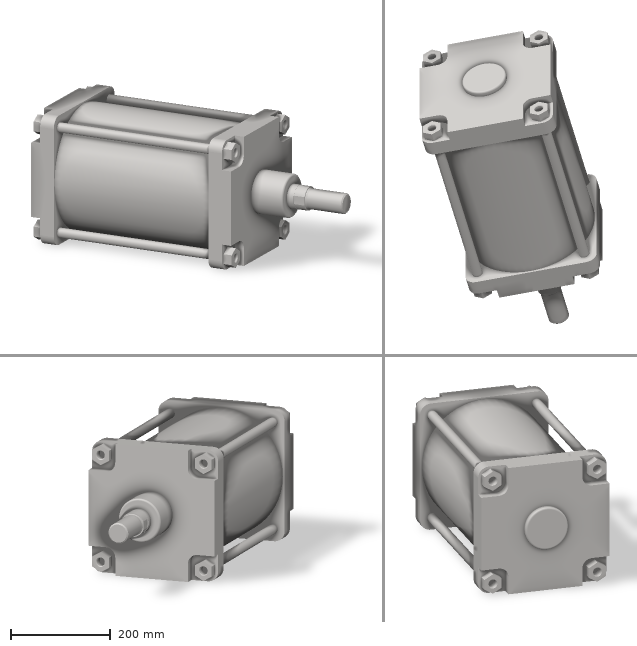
import cadquery as cq
import math

total_length = 651.0
head_side = 270.0
head_length = 51.0
head_corner_radius = 22.0
rear_head_start = 11.0
front_head_end = 459.5

pocket_side = 57.0
pocket_depth = 20.0
pocket_corner_radius = 20.0

boss_diameter = 90.0
boss_edge_radius = 4.0
collar_end = 529.0

barrel_diameter = 262.5

tie_rod_diameter = 20.0
tie_rod_pitch = 220.0
nut_across_flats = 36.0
nut_inset = 2.0
nut_hole_diameter = 17.0
nut_hole_chamfer = 1.0

rod_diameter = 50.0
rod_shoulder_x = 568.0
wrench_section_diameter = 49.5
wrench_section_length = 24.0
wrench_across_flats = 46.0
rod_end_diameter = 42.0
rod_end_chamfer = 2.5
rod_root_diameter = 45.0
rod_root_length = 4.0

barrel_start = rear_head_start + head_length
barrel_end = front_head_end - head_length
mid_x = (rear_head_start + front_head_end) / 2
wrench_section_x = rod_shoulder_x - wrench_section_length
nut_height = pocket_depth - nut_inset
nut_corner_diameter = nut_across_flats / math.cos(math.pi / 6)
tie_rod_places = [
    (y_side * tie_rod_pitch / 2, z_side * tie_rod_pitch / 2)
    for y_side in (-1, 1)
    for z_side in (-1, 1)
]


def section_at(x):
    """Workplane facing +X at position x, with local axes Y and Z."""
    return cq.Workplane("YZ", origin=(x, 0, 0))


def mirror_lengthwise(shape):
    """Reflect a shape across the plane halfway between the heads."""
    return shape.mirror("YZ", (mid_x, 0, 0))


def make_head(boss_length):
    """Rear head with corner pockets, tie-rod holes and a rounded boss of the given length."""
    head = section_at(rear_head_start).rect(head_side, head_side).extrude(head_length)
    head = head.edges("|X").fillet(head_corner_radius)

    pockets = (
        section_at(rear_head_start)
        .rect(head_side, head_side, forConstruction=True)
        .vertices()
        .rect(2 * pocket_side, 2 * pocket_side)
        .extrude(pocket_depth)
        .edges("|X")
        .fillet(pocket_corner_radius)
    )
    tie_rod_holes = (
        section_at(rear_head_start)
        .pushPoints(tie_rod_places)
        .circle(tie_rod_diameter / 2)
        .extrude(head_length)
    )
    boss = (
        section_at(rear_head_start - boss_length)
        .circle(boss_diameter / 2)
        .extrude(boss_length)
        .faces("<X")
        .edges()
        .fillet(boss_edge_radius)
    )
    return head.cut(pockets).cut(tie_rod_holes).union(boss)


def make_front_head():
    """Mirrored head whose longer boss is the collar that guides the piston rod."""
    head = mirror_lengthwise(make_head(collar_end - front_head_end))
    rod_bore = section_at(barrel_end).circle(rod_diameter / 2).extrude(collar_end - barrel_end)
    return head.cut(rod_bore)


def make_barrel():
    """Plain cylinder clamped between the inner faces of the heads."""
    return section_at(barrel_start).circle(barrel_diameter / 2).extrude(barrel_end - barrel_start)


def make_piston_rod():
    """Rod from the barrel end outward: shank, two wrench flats, short root cone, thinner chamfered end."""
    shank = section_at(barrel_end).circle(rod_diameter / 2).extrude(wrench_section_x - barrel_end)
    wrench_round = (
        section_at(wrench_section_x).circle(wrench_section_diameter / 2).extrude(wrench_section_length)
    )
    wrench_flats = (
        section_at(wrench_section_x).rect(wrench_across_flats, rod_diameter).extrude(wrench_section_length)
    )
    end = (
        section_at(rod_shoulder_x)
        .circle(rod_end_diameter / 2)
        .extrude(total_length - rod_shoulder_x)
        .faces(">X")
        .chamfer(rod_end_chamfer)
    )
    root_cone = (
        section_at(rod_shoulder_x)
        .circle(rod_root_diameter / 2)
        .workplane(offset=rod_root_length)
        .circle(rod_end_diameter / 2)
        .loft()
    )
    return shank.union(wrench_round.intersect(wrench_flats)).union(end).union(root_cone)


def make_nut():
    """Hexagonal nut seated on the rear pocket floor, with a corner pointing up and a countersunk hole."""
    return (
        section_at(rear_head_start + nut_inset)
        .transformed(rotate=(0, 0, 90))
        .polygon(6, nut_corner_diameter)
        .circle(nut_hole_diameter / 2)
        .extrude(nut_height)
        .faces("<X")
        .edges("%CIRCLE")
        .chamfer(nut_hole_chamfer)
    )


def make_tie_rod(y, z):
    """Tie rod between the pocket floors with a nut fixed on each end."""
    rod_start = rear_head_start + pocket_depth
    rod_end = front_head_end - pocket_depth
    rod = section_at(rod_start).circle(tie_rod_diameter / 2).extrude(rod_end - rod_start)
    nut = make_nut()
    return rod.union(nut).union(mirror_lengthwise(nut)).translate((0, y, z))


rear_head = make_head(rear_head_start)
front_head = make_front_head()
barrel = make_barrel()
piston_rod = make_piston_rod()
tie_rods = [make_tie_rod(y, z) for y, z in tie_rod_places]

result = cq.Compound.makeCompound([
    rear_head.val(),
    front_head.val(),
    barrel.val(),
    piston_rod.val(),
    *[tie_rod.val() for tie_rod in tie_rods],
])